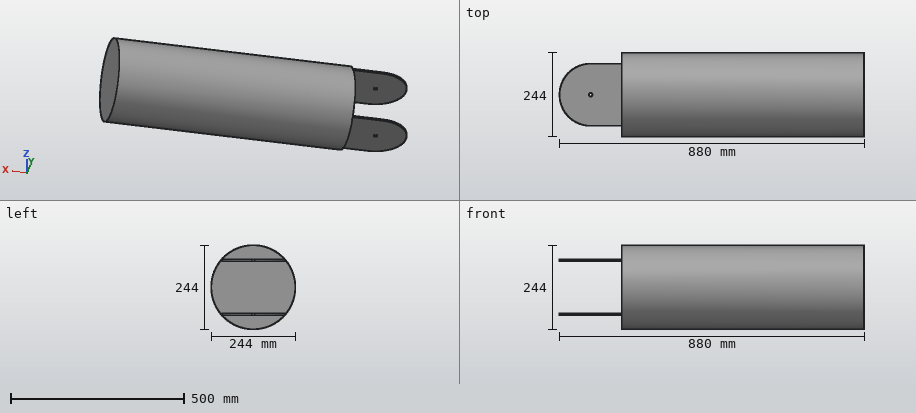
import cadquery as cq

total_length = 880.0
body_diameter = 244.0
lug_width = 180.0
lug_length = 179.5
lug_thickness = 5.0
lug_spacing = 157.0
pin_hole_diameter = 10.0

body_start = lug_length
body_length = total_length - lug_length
lug_radius = lug_width / 2


def make_body():
    """Solid round bar along X."""
    return cq.Workplane("YZ", origin=(body_start, 0, 0)).circle(body_diameter / 2).extrude(body_length)


def make_lug(mid_height):
    """Flat horizontal plate with a round tip and a pin hole at the tip's centre."""
    bottom = mid_height - lug_thickness / 2
    return (
        cq.Workplane("XY", origin=(0, 0, bottom))
        .moveTo(body_start, -lug_radius)
        .lineTo(lug_radius, -lug_radius)
        .threePointArc((0, 0), (lug_radius, lug_radius))
        .lineTo(body_start, lug_radius)
        .close()
        .extrude(lug_thickness)
        .cut(
            cq.Workplane("XY", origin=(lug_radius, 0, bottom))
            .circle(pin_hole_diameter / 2)
            .extrude(lug_thickness)
        )
    )


result = make_body()
for side in (-1, 1):
    result = result.union(make_lug(side * lug_spacing / 2))